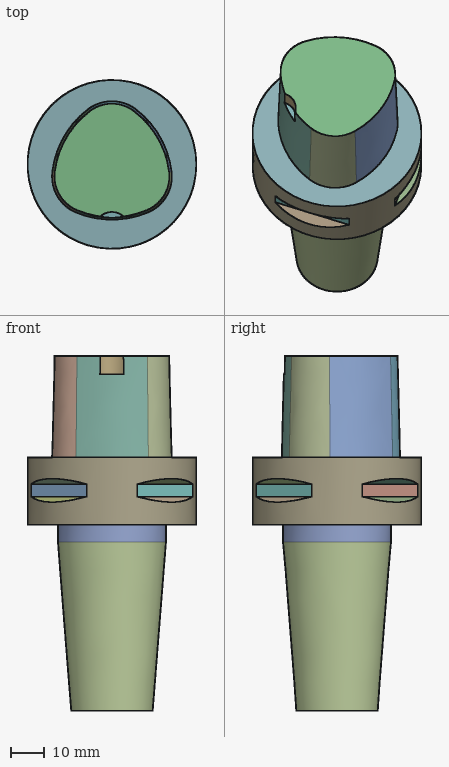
import cadquery as cq
import math

total_length = 105.0
shank_length = 30.0
flange_thickness = 20.0
collar_length = 5.0
flange_top = total_length - shank_length
flange_bottom = flange_top - flange_thickness
cone_top = flange_bottom - collar_length

flange_diameter = 50.0
collar_diameter = 32.0
nose_diameter = 24.2

lobe_reach = 18.7
flat_reach = 16.4
lobe_offset = 7.1
lobe_count = 3
first_lobe_angle = 90
shank_taper = math.degrees(math.atan(1 / 40))

key_diameter = 10.0
key_wall_y = -14.1
key_depth = 5.5

grip_count = 4
grip_floor_distance = 22.2
grip_floor_height = 3.7
grip_side_angle = 30.0
grip_center_z = 65.2
cutter_overrun = 1.0


def polar(radius, degrees):
    angle = math.radians(degrees)
    return radius * math.cos(angle), radius * math.sin(angle)


def make_body():
    return (
        cq.Workplane("XZ")
        .moveTo(0, 0)
        .lineTo(nose_diameter / 2, 0)
        .lineTo(collar_diameter / 2, cone_top)
        .lineTo(collar_diameter / 2, flange_bottom)
        .lineTo(flange_diameter / 2, flange_bottom)
        .lineTo(flange_diameter / 2, flange_top)
        .lineTo(0, flange_top)
        .close()
        .revolve(360, (0, 0, 0), (0, 1, 0))
    )


def make_shank():
    pitch = 360 / lobe_count
    half_pitch = math.radians(pitch / 2)
    lobe_radius = lobe_reach - lobe_offset
    along = lobe_offset * math.cos(half_pitch)
    across = lobe_offset * math.sin(half_pitch)
    radius_gap = flat_reach - lobe_radius
    flank_offset = (across**2 + along**2 - radius_gap**2) / (2 * (radius_gap - along))
    normal_angle = math.atan2(across, along + flank_offset)
    seam_along = along + lobe_radius * math.cos(normal_angle)
    seam_across = across + lobe_radius * math.sin(normal_angle)
    seam_radius = math.hypot(seam_along, seam_across)
    seam_angle = pitch / 2 - math.degrees(math.atan2(seam_across, seam_along))

    start = polar(seam_radius, first_lobe_angle - seam_angle)
    profile = cq.Workplane("XY", origin=(0, 0, flange_top)).moveTo(*start)
    for index in range(lobe_count):
        lobe = first_lobe_angle + index * pitch
        profile = profile.threePointArc(polar(lobe_reach, lobe), polar(seam_radius, lobe + seam_angle))
        profile = profile.threePointArc(
            polar(flat_reach, lobe + pitch / 2), polar(seam_radius, lobe + pitch - seam_angle)
        )
    return profile.close().extrude(shank_length, taper=shank_taper)


def make_key_notch():
    center_y = key_wall_y - key_diameter / 2
    return (
        cq.Workplane("XY", origin=(0, center_y, total_length - key_depth))
        .circle(key_diameter / 2)
        .extrude(key_depth)
    )


def make_grip(angle):
    outer_distance = flange_diameter / 2 + cutter_overrun
    flare = (outer_distance - grip_floor_distance) * math.tan(math.radians(grip_side_angle))
    floor_half = grip_floor_height / 2
    mouth_half = floor_half + flare
    return (
        cq.Workplane("XZ", origin=(0, 0, grip_center_z))
        .moveTo(grip_floor_distance, -floor_half)
        .lineTo(outer_distance, -mouth_half)
        .lineTo(outer_distance, mouth_half)
        .lineTo(grip_floor_distance, floor_half)
        .close()
        .extrude(flange_diameter / 2, both=True)
        .rotate((0, 0, 0), (0, 0, 1), angle)
    )


result = make_body().union(make_shank()).cut(make_key_notch())
for grip_index in range(grip_count):
    result = result.cut(make_grip((grip_index + 0.5) * 360 / grip_count))